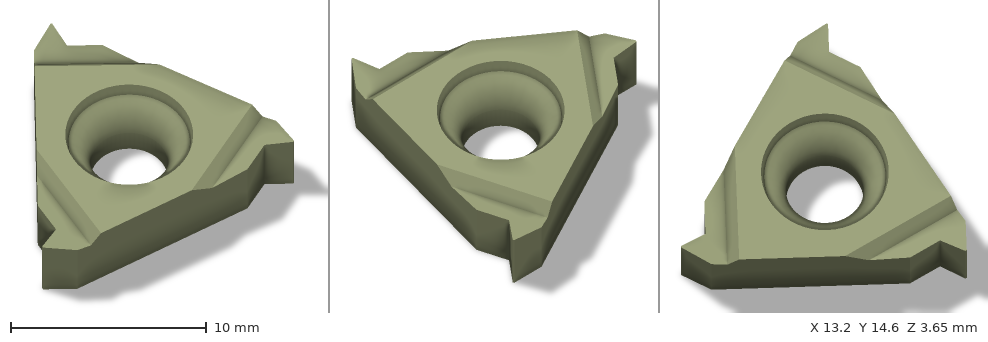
import cadquery as cq
import math

CORNERS = 3
THICKNESS = 3.65
SIDE_DISTANCE = 4.75
SHOULDER_DISTANCE = 6.2
TIP_X = 3.83
TIP_DISTANCE = 7.47
TIP_WIDTH = 0.09
FLANK_SLOPE = math.tan(math.radians(60))

BREAKER_START = 4.55
BREAKER_DEPTH = 0.61
TIP_DROP = 0.22
CUT_MARGIN = 0.73

BORE_RADIUS = 1.98
MOUTH_RADIUS = 3.26
SEAT_RADIUS = 3.1
SEAT_DEPTH = 0.63
BORE_DEPTH = 2.36


def turned(point, index):
    """Turn a point about the hole axis to the given corner."""
    angle = math.radians(index * 360 / CORNERS)
    x, y = point
    return (
        x * math.cos(angle) - y * math.sin(angle),
        x * math.sin(angle) + y * math.cos(angle),
    )


def make_body():
    side_angle = math.radians(360 / CORNERS)
    shoulder_start = (
        SHOULDER_DISTANCE * math.sin(side_angle) - SIDE_DISTANCE
    ) / -math.cos(side_angle)
    tooth_height = TIP_DISTANCE - SHOULDER_DISTANCE
    outer_flank_rise = (SIDE_DISTANCE - TIP_X - TIP_WIDTH / 2) * FLANK_SLOPE
    corner = [
        (shoulder_start, -SHOULDER_DISTANCE),
        (TIP_X - TIP_WIDTH / 2 - tooth_height / FLANK_SLOPE, -SHOULDER_DISTANCE),
        (TIP_X - TIP_WIDTH / 2, -TIP_DISTANCE),
        (TIP_X + TIP_WIDTH / 2, -TIP_DISTANCE),
        (SIDE_DISTANCE, -TIP_DISTANCE + outer_flank_rise),
    ]
    outline = [turned(point, i) for i in range(CORNERS) for point in corner]
    return cq.Workplane("XY").polyline(outline).close().extrude(THICKNESS)


def make_breaker_cutter():
    """Cutter for the corner facing -Y, drawn in the YZ plane."""
    groove_distance = BREAKER_START + BREAKER_DEPTH
    rake_slope = (BREAKER_DEPTH - TIP_DROP) / (TIP_DISTANCE - groove_distance)
    end_distance = TIP_DISTANCE + CUT_MARGIN
    end_drop = TIP_DROP - CUT_MARGIN * rake_slope
    profile = [
        (-BREAKER_START + CUT_MARGIN, THICKNESS + CUT_MARGIN),
        (-groove_distance, THICKNESS - BREAKER_DEPTH),
        (-end_distance, THICKNESS - end_drop),
        (-end_distance, THICKNESS + CUT_MARGIN),
    ]
    return cq.Workplane("YZ").polyline(profile).close().extrude(TIP_DISTANCE, both=True)


def make_hole_cutter():
    """Revolved screw hole; the rounded seat runs tangent into the bore."""
    seat_z = THICKNESS - SEAT_DEPTH
    bore_z = THICKNESS - BORE_DEPTH
    seat_width = SEAT_RADIUS - BORE_RADIUS
    seat_height = BORE_DEPTH - SEAT_DEPTH
    arc_radius = (seat_width**2 + seat_height**2) / (2 * seat_width)
    half_sweep = math.asin(seat_height / arc_radius) / 2
    arc_middle = (
        BORE_RADIUS + arc_radius * (1 - math.cos(half_sweep)),
        bore_z + arc_radius * math.sin(half_sweep),
    )
    return (
        cq.Workplane("XZ")
        .lineTo(BORE_RADIUS, 0)
        .lineTo(BORE_RADIUS, bore_z)
        .threePointArc(arc_middle, (SEAT_RADIUS, seat_z))
        .lineTo(MOUTH_RADIUS, THICKNESS)
        .lineTo(0, THICKNESS)
        .close()
        .revolve(360, (0, 0, 0), (0, 1, 0))
    )


result = make_body().cut(make_hole_cutter())
breaker_cutter = make_breaker_cutter()
for corner_index in range(CORNERS):
    turn = corner_index * 360 / CORNERS
    result = result.cut(breaker_cutter.rotate((0, 0, 0), (0, 0, 1), turn))